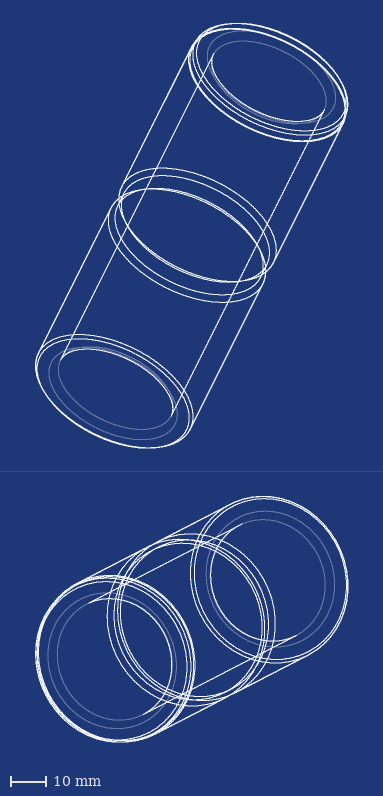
import cadquery as cq

length = 120.0
outer_radius = 24.0
bore_radius = 17.5
bore_rounding = 2.0
rim_chamfer = 0.8

groove_depth = 1.5
groove_floor_width = 4.8
groove_mouth_width = 7.9

step_length = 3.0
step_depth = 0.4

half_length = length / 2


def make_tube():
    """Solid of revolution: outer outline with groove and step, around a plain bore."""
    floor_radius = outer_radius - groove_depth
    step_radius = outer_radius - step_depth
    outline = [
        (bore_radius, -half_length),
        (outer_radius - rim_chamfer, -half_length),
        (outer_radius, -half_length + rim_chamfer),
        (outer_radius, -groove_mouth_width / 2),
        (floor_radius, -groove_floor_width / 2),
        (floor_radius, groove_floor_width / 2),
        (outer_radius, groove_mouth_width / 2),
        (outer_radius, half_length - step_length),
        (step_radius, half_length - step_length),
        (step_radius, half_length - rim_chamfer),
        (step_radius - rim_chamfer, half_length),
        (bore_radius, half_length),
    ]
    return cq.Workplane("XY").polyline(outline).close().revolve(360, (0, 0, 0), (0, 1, 0))


def round_bore_mouths(tube):
    """Round the bore edge at both ends."""
    for end_face in ("<Y", ">Y"):
        mouth = tube.faces(end_face).edges(cq.selectors.RadiusNthSelector(0))
        tube = mouth.fillet(bore_rounding)
    return tube


result = round_bore_mouths(make_tube())